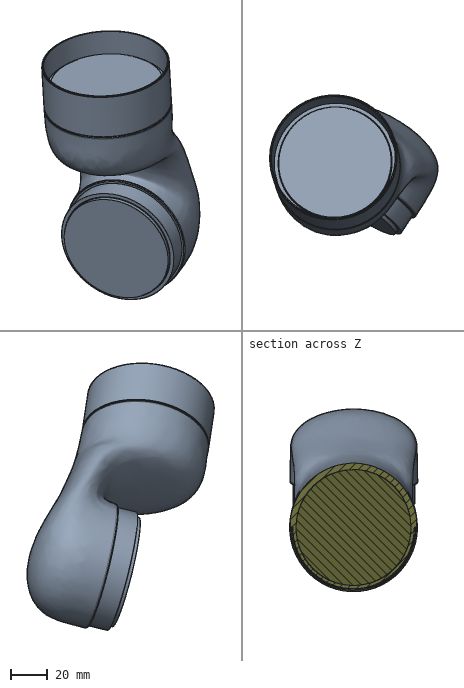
import cadquery as cq
import math

TILT = 7.0
PORT_RADIUS = 35.0
CORE_RADIUS = 31.3
WALL = PORT_RADIUS - CORE_RADIUS
TIP_RADIUS = 30.9
TIP_LENGTH = 2.2
SPIGOT_LENGTH = 11.3
SPIGOT_RADIUS = 33.4
SOCKET_WALL = 1.0
SOCKET_BORE_RADIUS = PORT_RADIUS - SOCKET_WALL
COLLAR_LENGTH = 1.2
COLLAR_CHAMFER = 0.5
SOCKET_LENGTH = 26.0
RIM_CHAMFER = 0.4
UPPER_PORT = (-0.22, -24.5, 90.05)

LEAN_SIN = math.sin(math.radians(TILT))
LEAN_COS = math.cos(math.radians(TILT))
lower_port = cq.Plane((0, 0, 0), (1, 0, 0), (0, -LEAN_COS, -LEAN_SIN))
upper_port = cq.Plane(UPPER_PORT, (1, 0, 0), (0, -LEAN_SIN, LEAN_COS))

BEND_SECTIONS = [
    ((11.0, -33.6), (-2.8, 35.2), 35.0),
    ((22.5, -32.0), (-1.3, 35.9), 34.9),
    ((33.6, -25.5), (-0.2, 36.6), 34.8),
    ((40.45, -6.0), (0.1, 37.9), 34.5),
    ((36.9, 13.8), (-1.0, 41.8), 34.1),
    ((28.1, 33.5), (-2.2, 44.4), 33.4),
    ((20.6, 52.3), (-6.4, 49.0), 32.6),
    ((17.1, 62.5), (-18.4, 54.0), 32.3),
    ((15.2, 69.0), (-37.9, 55.7), 32.4),
    ((13.8, 75.0), (-50.2, 58.9), 33.1),
    ((12.6, 81.0), (-56.6, 67.8), 34.2),
    ((11.3, 87.5), (-58.2, 78.5), 34.9),
]
SECTION_POINTS = 12


def port_wire(plane, side, radius):
    """Circle just behind a port collar; its seam lies on the inner side of the bend."""
    center = plane.toWorldCoords((0, 0, -COLLAR_LENGTH))
    inner_dir = plane.yDir * side
    return cq.Wire.makeEllipse(radius, radius, center, inner_dir.cross(plane.xDir), inner_dir)


def section_wire(outer, inner, half_width, center_x):
    """Smooth elliptical ring spanning from the inner to the outer point of the bend."""
    center_y = (outer[0] + inner[0]) / 2
    center_z = (outer[1] + inner[1]) / 2
    points = []
    for i in range(SECTION_POINTS):
        angle = 2 * math.pi * i / SECTION_POINTS
        reach = math.cos(angle)
        points.append(
            cq.Vector(
                center_x + half_width * math.sin(angle),
                center_y + reach * (inner[0] - center_y),
                center_z + reach * (inner[1] - center_z),
            )
        )
    return cq.Wire.assembleEdges([cq.Edge.makeSpline(points, periodic=True)])


def inset(point, toward, distance):
    """Point moved a distance along the line toward another point."""
    length = math.dist(point, toward)
    return tuple(p + (t - p) * distance / length for p, t in zip(point, toward))


def bend(thickness):
    """Lofted bend between the two collars, shrunk inward by a thickness."""
    wires = [port_wire(lower_port, 1, PORT_RADIUS - thickness)]
    for i, (outer, inner, half_width) in enumerate(BEND_SECTIONS):
        small_outer = inset(outer, inner, thickness)
        small_inner = inset(inner, outer, thickness)
        center_x = UPPER_PORT[0] * (i + 1) / (len(BEND_SECTIONS) + 1)
        wires.append(section_wire(small_outer, small_inner, half_width - thickness, center_x))
    wires.append(port_wire(upper_port, -1, PORT_RADIUS - thickness))
    return cq.Workplane(cq.Solid.makeLoft(wires))


def cylinder(port, radius, start, length):
    return cq.Workplane(port).workplane(offset=start).circle(radius).extrude(length)


def build_core():
    core = bend(WALL)
    for port in (lower_port, upper_port):
        core = core.union(cylinder(port, CORE_RADIUS, -COLLAR_LENGTH, COLLAR_LENGTH + SPIGOT_LENGTH))
        core = core.union(cylinder(port, TIP_RADIUS, SPIGOT_LENGTH, TIP_LENGTH))
    return core


def build_jacket(core):
    jacket = bend(0)
    for port in (lower_port, upper_port):
        port_end = cq.selectors.DirectionMinMaxSelector(port.zDir, True)
        collar = cylinder(port, PORT_RADIUS, -COLLAR_LENGTH, COLLAR_LENGTH)
        collar = collar.faces(port_end).chamfer(COLLAR_CHAMFER)
        spigot = cylinder(port, SPIGOT_RADIUS, -COLLAR_LENGTH, COLLAR_LENGTH + SPIGOT_LENGTH)
        jacket = jacket.union(collar).union(spigot)
    return jacket.cut(core)


def build_socket():
    tube = cylinder(upper_port, PORT_RADIUS, 0, SOCKET_LENGTH)
    tube = tube.edges("%CIRCLE").chamfer(RIM_CHAMFER)
    return tube.cut(cylinder(upper_port, SOCKET_BORE_RADIUS, 0, SOCKET_LENGTH))


core = build_core()
jacket = build_jacket(core)
socket = build_socket()
result = cq.Compound.makeCompound([body.solids().val() for body in (jacket, core, socket)])